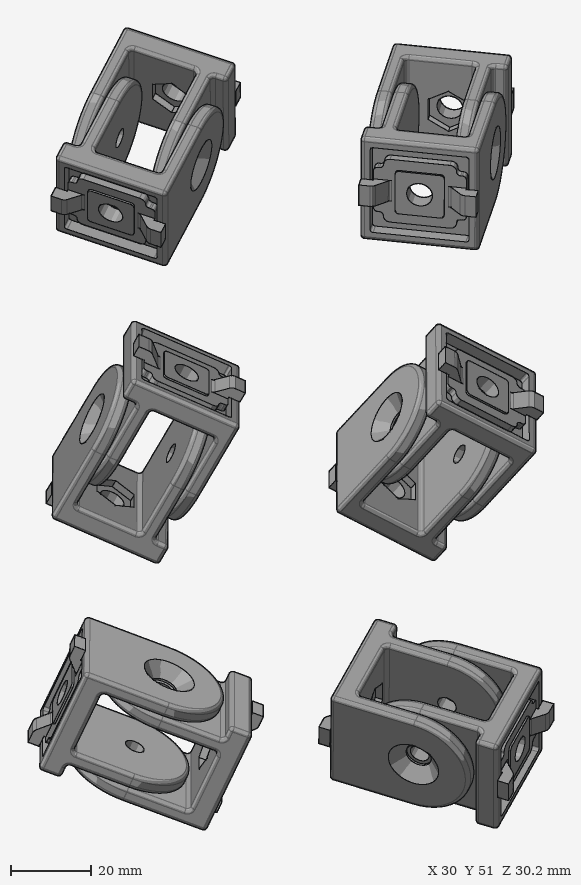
import cadquery as cq
import math


WIDTH = 30.0
HALF_WIDTH = WIDTH / 2
CLIP_REACH = 25.5
HOOK_HEIGHT = 2.95
END_FACE = CLIP_REACH - HOOK_HEIGHT
SECOND_BRACKET_TILT = 0.4

BASE_THICKNESS = 6.0
BASE_INNER_FACE = END_FACE - BASE_THICKNESS
ARM_THICKNESS = 3.95
ARM_GAP = 0.15
EDGE_RADIUS = 1.0

PIVOT_HOLE = 5.0
SCREW_HOLE = 6.75
COUNTERSINK = 13.5
COUNTERSINK_ANGLE = 90.0

RECESS_DEPTH = 3.0
RECESS_WALL = 2.5
RECESS_SIZE = WIDTH - 2 * RECESS_WALL
RECESS_CORNER = 0.75
BOLT_HOLE = 6.55
NUT_ACROSS_FLATS = 10.3
NUT_DEPTH = 1.95
HEX_HALF_ANGLE = 30

PLATE_THICKNESS = 2.0
PLATE_INSET = 0.5
PLATE_SIZE = 18.5
WING_SPAN = 23.45
WING_HEIGHT = 13.0
PLATE_CORNER = 1.7
WING_CORNER = 1.0
PAD_SIZE = 12.5
PAD_CORNER = 1.0

HOOK_WIDTH = 6.0
HOOK_OUTER = 14.85
HOOK_TIP = 11.3
HOOK_ROOT = 7.65
HOOK_TIP_RADIUS = 1.9
HOOK_ROOT_RADIUS = 1.05

SELECTION_MARGIN = 0.05

RECESS_FLOOR = END_FACE - RECESS_DEPTH
NUT_POCKET_FLOOR = BASE_INNER_FACE + NUT_DEPTH
PLATE_FACE = END_FACE - PLATE_INSET
PLATE_BACK = PLATE_FACE - PLATE_THICKNESS


def plate_along_y(width, height, y_start, thickness):
    """Rectangular plate centred on the Y axis, starting y_start out on the -Y side and growing outwards."""
    return cq.Workplane("XZ", origin=(0, -y_start, 0)).rect(width, height).extrude(thickness)


def square_pad(y_start, y_end):
    """Square block with rounded corners, reaching from y_start to y_end on the -Y side."""
    return plate_along_y(PAD_SIZE, PAD_SIZE, y_start, y_end - y_start).edges("|Y").fillet(PAD_CORNER)


def arm(x_start):
    """Arm from the base to a round end centred on the hinge axis."""
    return (
        cq.Workplane("YZ", origin=(x_start, 0, 0))
        .moveTo(-END_FACE, -HALF_WIDTH)
        .lineTo(0, -HALF_WIDTH)
        .threePointArc((HALF_WIDTH, 0), (0, HALF_WIDTH))
        .lineTo(-END_FACE, HALF_WIDTH)
        .close()
        .extrude(ARM_THICKNESS)
    )


def make_bracket():
    """Bracket with its end face towards -Y."""
    outer_arm_inside = HALF_WIDTH - ARM_THICKNESS
    inner_arm_outside = -(outer_arm_inside - ARM_GAP)

    base = plate_along_y(WIDTH, WIDTH, BASE_INNER_FACE, BASE_THICKNESS)
    bracket = base.union(arm(outer_arm_inside)).union(arm(inner_arm_outside)).clean()
    bracket = bracket.edges().fillet(EDGE_RADIUS)

    recess = plate_along_y(RECESS_SIZE, RECESS_SIZE, RECESS_FLOOR, RECESS_DEPTH)
    recess = recess.edges("|Y").fillet(RECESS_CORNER)
    boss_pocket = square_pad(NUT_POCKET_FLOOR, RECESS_FLOOR)
    nut_pocket = (
        cq.Workplane("XZ", origin=(0, -BASE_INNER_FACE, 0))
        .transformed(rotate=(0, 0, HEX_HALF_ANGLE))
        .polygon(6, NUT_ACROSS_FLATS / math.cos(math.radians(HEX_HALF_ANGLE)))
        .extrude(NUT_DEPTH)
    )
    bracket = bracket.cut(recess).cut(boss_pocket).cut(nut_pocket)

    outer_hole = (
        cq.Workplane("YZ", origin=(outer_arm_inside, 0, 0))
        .circle(SCREW_HOLE / 2)
        .extrude(ARM_THICKNESS)
    )
    half_angle = math.radians(COUNTERSINK_ANGLE / 2)
    cone_depth = (COUNTERSINK - SCREW_HOLE) / 2 / math.tan(half_angle)
    countersink = cq.Workplane(
        cq.Solid.makeCone(
            COUNTERSINK / 2, SCREW_HOLE / 2, cone_depth, cq.Vector(HALF_WIDTH, 0, 0), cq.Vector(-1, 0, 0)
        )
    )
    inner_hole = (
        cq.Workplane("YZ", origin=(inner_arm_outside, 0, 0))
        .circle(PIVOT_HOLE / 2)
        .extrude(ARM_THICKNESS)
    )
    return bracket.cut(outer_hole).cut(countersink).cut(inner_hole)


def make_hook():
    """Hook on the +X side: rises from the plate on a slope and overhangs the recess rim."""
    wing_end = WING_SPAN / 2
    strip_end = HOOK_ROOT - HOOK_ROOT_RADIUS
    hook = (
        cq.Workplane("XY", origin=(0, 0, -HOOK_WIDTH / 2))
        .polyline(
            [
                (strip_end, -PLATE_BACK),
                (strip_end, -PLATE_FACE),
                (HOOK_ROOT, -PLATE_FACE),
                (HOOK_TIP, -CLIP_REACH),
                (HOOK_OUTER, -CLIP_REACH),
                (HOOK_OUTER, -END_FACE),
                (wing_end, -END_FACE),
                (wing_end, -PLATE_BACK),
            ]
        )
        .close()
        .extrude(HOOK_WIDTH)
    )
    hook = hook.edges(cq.NearestToPointSelector((HOOK_TIP, -CLIP_REACH, 0))).fillet(HOOK_TIP_RADIUS)
    return hook.edges(cq.NearestToPointSelector((HOOK_ROOT, -PLATE_FACE, 0))).fillet(HOOK_ROOT_RADIUS)


def make_clip():
    """Clip held by its boss in the pocket of a bracket whose end face is towards -Y."""
    middle = plate_along_y(PLATE_SIZE, PLATE_SIZE, PLATE_BACK, PLATE_THICKNESS)
    middle = middle.edges("|Y").fillet(PLATE_CORNER)
    wings = plate_along_y(WING_SPAN, WING_HEIGHT, PLATE_BACK, PLATE_THICKNESS)
    wings = wings.edges("|Y").fillet(WING_CORNER)
    clip = middle.union(wings)
    corner_x = PLATE_SIZE / 2 + SELECTION_MARGIN
    corner_z = WING_HEIGHT / 2 + SELECTION_MARGIN
    inner_corners = cq.selectors.BoxSelector((-corner_x, -END_FACE, -corner_z), (corner_x, 0, corner_z))
    clip = clip.edges("|Y").edges(inner_corners).fillet(WING_CORNER)

    clip = clip.union(square_pad(PLATE_FACE, END_FACE))

    clip = clip.union(square_pad(NUT_POCKET_FLOOR, PLATE_BACK))

    hook = make_hook()
    clip = clip.union(hook).union(hook.mirror("YZ"))
    bolt_hole = (
        cq.Workplane("XZ", origin=(0, -NUT_POCKET_FLOOR, 0))
        .circle(BOLT_HOLE / 2)
        .extrude(END_FACE - NUT_POCKET_FLOOR)
    )
    return clip.cut(bolt_hole)


def placed_on_second_side(body):
    """Turn a body half way round Z, then fold it about the hinge axis."""
    turned = body.rotate((0, 0, 0), (0, 0, 1), 180)
    return turned.rotate((0, 0, 0), (1, 0, 0), SECOND_BRACKET_TILT)


bracket = make_bracket()
clip = make_clip()
bodies = []
for body in (bracket, clip):
    bodies.append(body.val())
    bodies.append(placed_on_second_side(body).val())

result = cq.Compound.makeCompound(bodies)